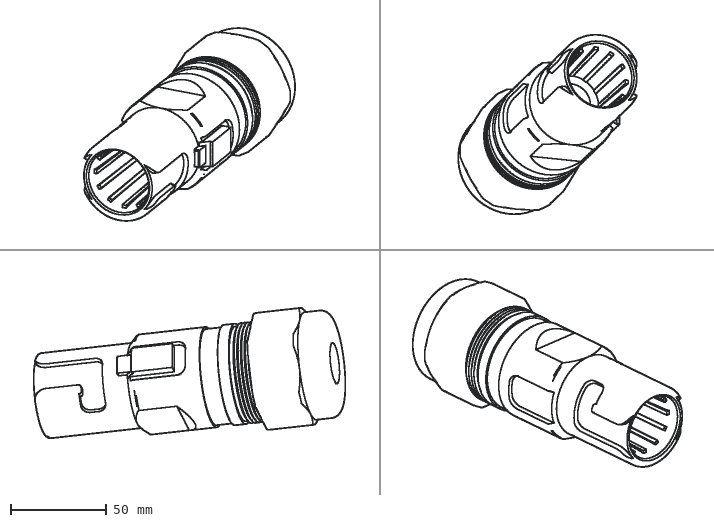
import cadquery as cq
import math

TOTAL_LENGTH = 158.0

NUT_RADIUS = 28.5
NUT_BACK_FILLET = 5.0
HEX_FLATS = 2 * NUT_RADIUS
HEX_CORNER_WIDTH = 61.82
HEX_CORNER_FILLET = 3.0
HEX_FRONT_Y = 118.0
HEX_BACK_Y = 144.9
HEX_CHAMFER_LENGTH = 1.9
HEX_CHAMFER_RISE = 2.6
HEX_FRONT_FILLET = 1.3

THREAD_PITCH = 2.0
THREAD_COUNT = 4
THREAD_END_Y = 109.1
CORE_RADIUS = 25.1
BODY_RADIUS = 26.6
NECK_RADIUS = 25.5
COLLAR_BACK_Y = 107.0
COLLAR_FRONT_Y = 101.0
BODY_BACK_Y = 91.2

SLEEVE_RADIUS = 22.6
SLEEVE_FILLET = 2.3
SLEEVE_BACK_Y = 51.2
CONE_BACK_Y = SLEEVE_BACK_Y + BODY_RADIUS - SLEEVE_RADIUS
CONE_ANGLE = 45.0
CONE_FILLET = 1.0
FLAT_HEIGHT = SLEEVE_RADIUS
FLAT_BACK_Y = 76.0
FLAT_RAMP_LENGTH = 6.5

PANEL_BACK_Y = 83.5
PANEL_HALF_WIDTH = 9.8
PANEL_CORNER = 5.0
PANEL_FLOOR_RADIUS = 24.4

LATCH_BACK_Y = 77.0
LATCH_HALF_WIDTH = 7.05
LATCH_ROOT_X = SLEEVE_RADIUS - 1.0
LATCH_TOP_X = 28.5
LATCH_CAP_THICKNESS = 1.5
LATCH_CAP_FRONT_Y = 55.0
TONGUE_FRONT_Y = 46.0
TONGUE_HALF_WIDTH = 5.0
TONGUE_TOP_X = 25.1
TONGUE_CHAMFER = 0.6

GROOVE_FLOOR_RADIUS = 20.0
GROOVE_HALF_WIDTH = 7.3
GROOVE_HALF_ANGLE = math.degrees(math.asin(GROOVE_HALF_WIDTH / SLEEVE_RADIUS))
GROOVE_BACK_Y = 37.8
GROOVE_FLARE = 7.0
GROOVE_BACK_CORNER = 4.5
HOOK_FRONT_Y = 24.4
HOOK_CORNER = 4.5
HOOK_END_ANGLE = 58.7
DETENT_HEIGHT = 1.6
DETENT_WIDTH = 4.3
DETENT_ROUNDING = 1.5

CABLE_BORE_RADIUS = 10.75
MOUTH_BORE_RADIUS = 18.5
MOUTH_CHAMFER_LENGTH = 1.1
RIB_START_RADIUS = 17.6
RIB_START_Y = 7.5
SOCKET_STEP_Y = 9.5
SOCKET_STEP_RADIUS = 17.1
SOCKET_END_RADIUS = 15.2
SOCKET_END_Y = 50.0
RIB_COUNT = 12
RIB_WIDTH = 2.2
RIB_FRONT_TIP_RADIUS = 16.0
RIB_BACK_TIP_RADIUS = 15.0

REACH = 40.0


def revolve_profile(sketch):
    """Revolve a profile drawn as (radius, Y) about the Y axis."""
    return sketch.close().revolve(360, (0, 0, 0), (0, 1, 0))


def cylinder(radius, front_y, back_y):
    """Solid cylinder along Y."""
    return cq.Workplane("XZ", origin=(0, front_y, 0)).circle(radius).extrude(front_y - back_y)


def box_between(x0, x1, y0, y1, z0, z1):
    """Box given by its limits."""
    size = (x1 - x0, y1 - y0, z1 - z0)
    return cq.Workplane("XY").box(*size, centered=False).translate((x0, y0, z0))


def half_turn(shape):
    """Copy turned half a turn about Y."""
    return shape.rotate((0, 0, 0), (0, 1, 0), 180)


def make_nut():
    """Hexagonal clamping nut with trimmed corners and a round cap behind it."""
    corner_radius = HEX_FLATS / math.sqrt(3)
    truncation_radius = HEX_CORNER_WIDTH / math.sqrt(3)
    prism_length = HEX_BACK_Y - HEX_FRONT_Y
    plane = cq.Workplane("XZ", origin=(0, HEX_FRONT_Y, 0))
    hexagon = plane.polygon(6, 2 * corner_radius).extrude(-prism_length)
    truncation = plane.polygon(6, 2 * truncation_radius).extrude(-prism_length)
    truncation = truncation.rotate((0, 0, 0), (0, 1, 0), 30)
    prism = hexagon.intersect(truncation).edges("|Y").fillet(HEX_CORNER_FILLET)
    prism = prism.faces("<Y").edges().fillet(HEX_FRONT_FILLET)
    chamfer_extension = 2.0
    envelope_radius = NUT_RADIUS + HEX_CHAMFER_RISE * chamfer_extension
    envelope = revolve_profile(
        cq.Workplane("XY")
        .moveTo(0, HEX_FRONT_Y)
        .lineTo(envelope_radius, HEX_FRONT_Y)
        .lineTo(envelope_radius, HEX_BACK_Y - HEX_CHAMFER_LENGTH * chamfer_extension)
        .lineTo(NUT_RADIUS, HEX_BACK_Y)
        .lineTo(0, HEX_BACK_Y)
    )
    cap = cylinder(NUT_RADIUS, HEX_BACK_Y, TOTAL_LENGTH).faces(">Y").edges().fillet(NUT_BACK_FILLET)
    return prism.intersect(envelope).union(cap)


def make_turned_body():
    """Sleeve, cone, body, collars and thread as one turned shape."""
    cone_tangent = CONE_FILLET * math.tan(math.radians(CONE_ANGLE / 2))
    cone_drop = cone_tangent * math.sin(math.radians(CONE_ANGLE))
    cone_end_radius = BODY_RADIUS - cone_drop
    profile = (
        cq.Workplane("XY")
        .moveTo(0, 0)
        .lineTo(SLEEVE_RADIUS - SLEEVE_FILLET, 0)
        .radiusArc((SLEEVE_RADIUS, SLEEVE_FILLET), -SLEEVE_FILLET)
        .lineTo(SLEEVE_RADIUS, SLEEVE_BACK_Y)
        .lineTo(cone_end_radius, CONE_BACK_Y - cone_drop)
        .radiusArc((BODY_RADIUS, CONE_BACK_Y + cone_tangent), -CONE_FILLET)
        .lineTo(BODY_RADIUS, BODY_BACK_Y)
        .lineTo(NECK_RADIUS, BODY_BACK_Y)
        .lineTo(NECK_RADIUS, COLLAR_FRONT_Y)
        .lineTo(BODY_RADIUS, COLLAR_FRONT_Y)
        .lineTo(BODY_RADIUS, COLLAR_BACK_Y)
        .lineTo(CORE_RADIUS, COLLAR_BACK_Y)
        .lineTo(CORE_RADIUS, THREAD_END_Y)
    )
    for turn in range(THREAD_COUNT):
        root_y = THREAD_END_Y + turn * THREAD_PITCH
        profile = profile.lineTo(BODY_RADIUS, root_y + THREAD_PITCH / 2)
        profile = profile.lineTo(CORE_RADIUS, root_y + THREAD_PITCH)
    profile = profile.lineTo(CORE_RADIUS, HEX_BACK_Y).lineTo(0, HEX_BACK_Y)
    return revolve_profile(profile)


def make_wrench_flat():
    """Cutter for the upper wrench flat with its ramp at the back."""
    ramp_rise = BODY_RADIUS - FLAT_HEIGHT
    return (
        cq.Workplane("YZ", origin=(-REACH, 0, 0))
        .moveTo(SLEEVE_BACK_Y, FLAT_HEIGHT)
        .lineTo(FLAT_BACK_Y, FLAT_HEIGHT)
        .lineTo(FLAT_BACK_Y + FLAT_RAMP_LENGTH, FLAT_HEIGHT + ramp_rise)
        .lineTo(SLEEVE_BACK_Y, FLAT_HEIGHT + ramp_rise)
        .close()
        .extrude(2 * REACH)
    )


def make_panel_recess():
    """Cutter for the side panel on the +X side, with radial walls and a cylindrical floor."""
    wall_angle = math.degrees(math.asin(PANEL_HALF_WIDTH / BODY_RADIUS))
    below_wall = box_between(0, REACH, SLEEVE_BACK_Y, PANEL_BACK_Y, -REACH, 0)
    below_wall = below_wall.edges("|X and >Y and >Z").fillet(PANEL_CORNER)
    below_wall = below_wall.rotate((0, 0, 0), (0, 1, 0), -wall_angle)
    recess = below_wall.intersect(below_wall.mirror("XY"))
    return recess.cut(cylinder(PANEL_FLOOR_RADIUS, 0, TOTAL_LENGTH))


def make_latch():
    """Latch block sloped like the body cone, with a thin cap and a tongue in front."""
    block = (
        cq.Workplane("XY", origin=(0, 0, -LATCH_HALF_WIDTH))
        .moveTo(LATCH_ROOT_X, SLEEVE_BACK_Y)
        .lineTo(SLEEVE_RADIUS, SLEEVE_BACK_Y)
        .lineTo(LATCH_TOP_X, CONE_BACK_Y + LATCH_TOP_X - BODY_RADIUS)
        .lineTo(LATCH_TOP_X, LATCH_BACK_Y)
        .lineTo(LATCH_ROOT_X, LATCH_BACK_Y)
        .close()
        .extrude(2 * LATCH_HALF_WIDTH)
    )
    cap = box_between(
        LATCH_TOP_X - LATCH_CAP_THICKNESS, LATCH_TOP_X,
        LATCH_CAP_FRONT_Y, LATCH_BACK_Y,
        -LATCH_HALF_WIDTH, LATCH_HALF_WIDTH,
    )
    tongue = box_between(
        LATCH_ROOT_X, TONGUE_TOP_X,
        TONGUE_FRONT_Y, CONE_BACK_Y,
        -TONGUE_HALF_WIDTH, TONGUE_HALF_WIDTH,
    )
    tongue = tongue.faces("<Y").edges().chamfer(TONGUE_CHAMFER)
    return block.union(cap).union(tongue)


def make_groove():
    """Cutter for the bayonet groove on the -X side: a flared channel and an upward hook with radial walls."""
    below_upper_wall = (
        cq.Workplane("YZ", origin=(-REACH, 0, 0))
        .moveTo(0, -REACH)
        .lineTo(GROOVE_BACK_Y, -REACH)
        .lineTo(GROOVE_BACK_Y, 0)
        .lineTo(GROOVE_FLARE, 0)
        .radiusArc((0, GROOVE_FLARE), GROOVE_FLARE)
        .close()
        .extrude(2 * REACH)
    )
    above_lower_wall = below_upper_wall.edges("|X").edges(">Y").edges(">Z").fillet(GROOVE_BACK_CORNER)
    below_upper_wall = below_upper_wall.rotate((0, 0, 0), (0, 1, 0), GROOVE_HALF_ANGLE)
    above_lower_wall = above_lower_wall.rotate((0, 0, 0), (0, 1, 0), GROOVE_HALF_ANGLE).mirror("XY")

    hook = box_between(-REACH, 0, HOOK_FRONT_Y, GROOVE_BACK_Y, -REACH, 0)
    hook = hook.edges("|X and >Z").fillet(HOOK_CORNER)
    hook = hook.rotate((0, 0, 0), (0, 1, 0), HOOK_END_ANGLE)
    detent = box_between(
        -REACH, 0,
        HOOK_FRONT_Y - DETENT_HEIGHT, HOOK_FRONT_Y + DETENT_HEIGHT,
        GROOVE_HALF_WIDTH, GROOVE_HALF_WIDTH + DETENT_WIDTH,
    )
    detent = detent.edges("|X and >Y").fillet(DETENT_ROUNDING)
    below_hook_end = hook.cut(detent).union(below_upper_wall.cut(detent))

    floor = cylinder(GROOVE_FLOOR_RADIUS, 0, TOTAL_LENGTH)
    return above_lower_wall.intersect(below_hook_end).cut(floor)


def make_bore():
    """Cable hole and the ribbed, tapering socket behind the plug face."""
    socket = revolve_profile(
        cq.Workplane("XY")
        .moveTo(0, 0)
        .lineTo(MOUTH_BORE_RADIUS, 0)
        .lineTo(RIB_START_RADIUS, MOUTH_CHAMFER_LENGTH)
        .lineTo(RIB_START_RADIUS, RIB_START_Y)
        .lineTo(SOCKET_STEP_RADIUS, SOCKET_STEP_Y)
        .lineTo(SOCKET_END_RADIUS, SOCKET_END_Y)
        .lineTo(0, SOCKET_END_Y)
    )
    rib = (
        cq.Workplane("XY", origin=(0, 0, -RIB_WIDTH / 2))
        .moveTo(RIB_FRONT_TIP_RADIUS, RIB_START_Y)
        .lineTo(MOUTH_BORE_RADIUS, RIB_START_Y)
        .lineTo(MOUTH_BORE_RADIUS, SOCKET_END_Y)
        .lineTo(RIB_BACK_TIP_RADIUS, SOCKET_END_Y)
        .close()
        .extrude(RIB_WIDTH)
    )
    for index in range(RIB_COUNT):
        socket = socket.cut(rib.rotate((0, 0, 0), (0, 1, 0), index * 360 / RIB_COUNT))
    return socket.union(cylinder(CABLE_BORE_RADIUS, 0, TOTAL_LENGTH))


wrench_flat = make_wrench_flat()
panel_recess = make_panel_recess()
groove = make_groove()

body = make_turned_body()
body = body.cut(wrench_flat).cut(half_turn(wrench_flat))
body = body.cut(panel_recess).cut(half_turn(panel_recess))
body = body.cut(groove).cut(half_turn(groove))
body = body.union(make_latch()).union(make_nut())

result = body.cut(make_bore())